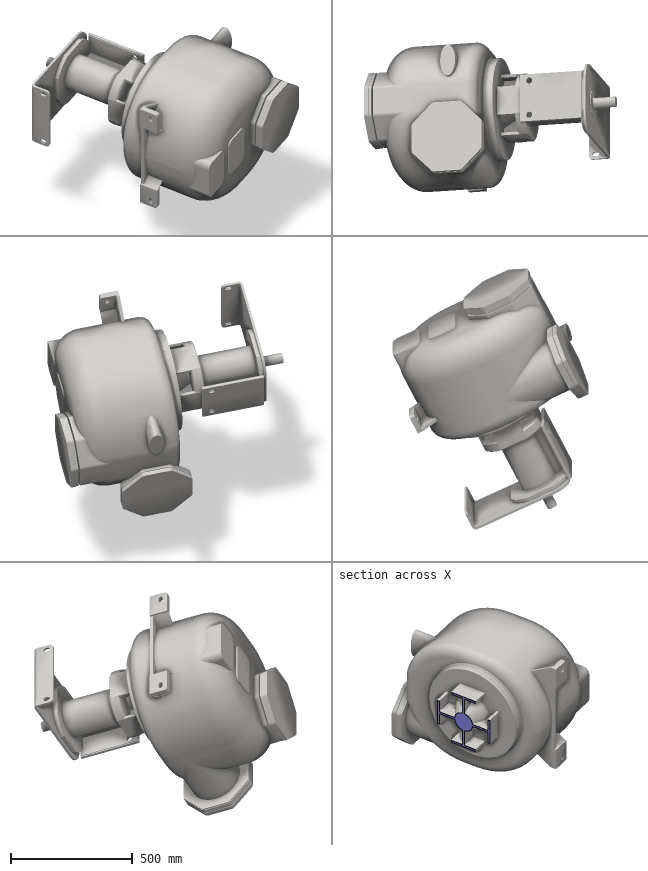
import cadquery as cq
import math


mount_y = -311.0
top_z = 255.5
seat_half = 129.0

shaft_dia = 42.5
shaft_collar_dia = 48.0
cover_boss_dia = 108.0
cover_dia = 150.0
cover_relief = 0.5
cover_bolt_dia = 10.0
cover_bolt_depth = 2.0
cover_bolt_half_pitch = 45.5
shaft_shoulder_x = 85.5
cover_boss_x = 94.0

bracket_x = 97.0
bracket_thickness = 10.0
bracket_half_height = 150.0
bracket_corner_radius = 75.0
bracket_end_x = 186.0
bracket_bend_radius = 18.0
bracket_toe_radius = 16.0
spigot_dia = 230.0
bracket_bolt_dia = 18.5
bracket_bolt_half_pitch = 94.0
slot_length = 28.0
slot_width = 18.0
bracket_slot_x = 157.0
bracket_slot_z = 129.0

disc_dia = 282.0
seat_width = 120.0
front_disc_x = bracket_x + bracket_thickness
front_disc_end_x = 124.0
tube_dia = 152.0
tube_fillet = 5.0
rear_disc_x = 357.5
rear_disc_end_x = 398.0
rear_disc_front_chamfer = 3.0
rear_disc_back_chamfer = 5.0
lug_thickness = 12.0
lug_web_thickness = 12.0
neck_dia = 90.0
cone_start_x = 405.0
cone_end_dia = 170.0
guard_rib_thickness = 10.0

cover_plate_x = 471.5
cover_plate_end_x = 500.5
cover_plate_dia = 421.0
raised_rim_x = 487.0
raised_rim_height = 1.5
casing_x = 509.5
casing_rim_dia = 434.0
casing_end_x = 920.0
casing_front_fillet = 42.0
casing_rear_fillet = 114.5
casing_bottom_z = -325.0
casing_right_y = -290.5
casing_left_y = 364.0
left_arc_y = 82.0
left_arc_z = (top_z + casing_bottom_z) / 2
left_arc_radius = (top_z - casing_bottom_z) / 2
right_arc_z = -17.5
upper_arc_radius = top_z - right_arc_z
lower_arc_radius = right_arc_z - casing_bottom_z
upper_arc_y = casing_right_y + upper_arc_radius
lower_arc_y = casing_right_y + lower_arc_radius
left_blend_radius = 90.0

port_half = 147.5
port_step_half = 145.5
port_flat_half = 60.0
port_corner_radius = 17.0
port_neck_dia = 222.0

discharge_x = 620.0
discharge_y = 396.0
discharge_z = -215.0
discharge_plate = 17.0
discharge_gap = 2.5
discharge_counter_plate = 20.0
discharge_step = 6.0
discharge_pipe_dia = 2 * (discharge_z - casing_bottom_z)

suction_y = 219.0
suction_z = -36.0
suction_x = 976.5
suction_plate = 18.5
suction_step = 12.5
suction_gap = 7.0

boss_start_x = 780.0
boss_end_x = 926.5
boss_width = 122.5
boss_height = 183.0
boss_corner_radius = 27.0
boss_z = suction_z
boss_ys = (-214.5, -50.5)

filler_end_y = 378.0
filler_width = 63.0
filler_top_z = 180.0
filler_bottom_z = 49.0

foot_x = 620.0
foot_web_thickness = 13.0
foot_web_recess = 8.0
foot_end_x = 700.0
foot_thickness = 22.0
foot_height = 99.0
foot_corner_radius = 12.0
foot_center_z = 0.5
foot_slot_x = 670.0
foot_slot_z = 224.5
foot_nose_y = mount_y + 26.0
upper_web_y = -190.0
upper_web_z = 198.0
lower_web_y = -223.0
lower_web_z = -215.0
foot_half_span = top_z - foot_center_z
foot_gusset_thickness = 8.0
foot_gusset_run = 60.0
foot_gusset_rise = 40.0

guard_x = 111.0
guard_end_x = 371.0
guard_half_height = 100.0
guard_thickness = 15.0
guard_lip = 3.0
guard_inset = 4.0
guard_hole_dia = 25.0
guard_hole_x = 332.0
guard_hole_z = 73.0


def plane_x(x):
    return cq.Workplane(cq.Plane((x, 0, 0), (0, 1, 0), (1, 0, 0)))


def plane_y(y):
    return cq.Workplane(cq.Plane((0, y, 0), (1, 0, 0), (0, -1, 0)))


def rod(x_start, x_end, diameter):
    return plane_x(x_start).circle(diameter / 2).extrude(x_end - x_start)


def box(x_start, x_end, y_start, y_end, z_start, z_end):
    size = (x_end - x_start, y_end - y_start, z_end - z_start)
    corner = (x_start, y_start, z_start)
    return cq.Workplane("XY").box(*size, centered=False).translate(corner)


def four_corners(half_pitch):
    return [(y, z) for y in (-half_pitch, half_pitch) for z in (-half_pitch, half_pitch)]


def slot_cutter(x, z, angle, depth):
    cutter = plane_y(mount_y + depth).center(x, z).slot2D(slot_length, slot_width, angle)
    return cutter.extrude(depth)


def bracket_bolts():
    bolts = plane_x(bracket_x).pushPoints(four_corners(bracket_bolt_half_pitch))
    return bolts.circle(bracket_bolt_dia / 2).extrude(bracket_thickness)


def make_bracket():
    bracket = box(bracket_x, bracket_end_x, mount_y, seat_half, -bracket_half_height, bracket_half_height)
    inside = box(bracket_x + bracket_thickness, bracket_end_x, mount_y + bracket_thickness, seat_half,
                 -bracket_half_height, bracket_half_height)
    inside = inside.edges("|Z and <X and <Y").fillet(bracket_bend_radius - bracket_thickness)
    bracket = bracket.edges("|Z and <X and <Y").fillet(bracket_bend_radius).cut(inside)
    bracket = bracket.edges("|X and >Y").fillet(bracket_corner_radius)
    bracket = bracket.edges("|Y and >X").fillet(bracket_toe_radius)
    bracket = bracket.cut(rod(bracket_x, front_disc_x, spigot_dia))
    bracket = bracket.cut(bracket_bolts())
    for z in (-bracket_slot_z, bracket_slot_z):
        bracket = bracket.cut(slot_cutter(bracket_slot_x, z, 0, bracket_thickness))
    return bracket


def make_guard():
    step_y = seat_half + guard_lip
    guard = box(guard_x, guard_end_x, step_y, seat_half + guard_thickness,
                -guard_half_height, guard_half_height)
    inner_half = guard_half_height - guard_inset
    guard = guard.union(box(guard_x + guard_inset, guard_end_x - guard_inset, seat_half, step_y,
                            -inner_half, inner_half))
    holes = plane_y(seat_half + guard_thickness)
    holes = holes.pushPoints([(guard_hole_x, -guard_hole_z), (guard_hole_x, guard_hole_z)])
    return guard.cut(holes.circle(guard_hole_dia / 2).extrude(guard_thickness))


def frame_disc(x_start, x_end):
    seats = box(x_start, x_end, -seat_half, seat_half, -seat_half, seat_half)
    return rod(x_start, x_end, disc_dia).intersect(seats)


def frame_lug():
    lug_x = rear_disc_end_x - rear_disc_back_chamfer
    cap = box(lug_x, cover_plate_x, -seat_width / 2, seat_width / 2,
              seat_half - lug_thickness, seat_half)
    web = box(lug_x, cover_plate_x, -lug_web_thickness / 2, lug_web_thickness / 2,
              0, seat_half)
    return cap.union(web)


def frame_tube():
    radius = tube_dia / 2
    flared = radius + tube_fillet
    left, right = front_disc_end_x, rear_disc_x
    inset = tube_fillet * (1 - math.sqrt(0.5))
    profile = cq.Workplane("XY").moveTo(left, 0).lineTo(left, flared)
    profile = profile.threePointArc((left + inset, radius + inset), (left + tube_fillet, radius))
    profile = profile.lineTo(right - tube_fillet, radius)
    profile = profile.threePointArc((right - inset, radius + inset), (right, flared))
    return profile.lineTo(right, 0).close().revolve(360, (0, 0), (1, 0))


def make_frame():
    cover_x = bracket_x - cover_relief
    frame = rod(bracket_x, front_disc_x, spigot_dia).union(rod(cover_x, front_disc_x, cover_dia))
    bolts = plane_x(cover_x).pushPoints(four_corners(cover_bolt_half_pitch))
    frame = frame.cut(bolts.circle(cover_bolt_dia / 2).extrude(cover_bolt_depth))
    frame = frame.union(rod(cover_boss_x, front_disc_x, cover_boss_dia))
    frame = frame.union(rod(0, cover_boss_x, shaft_dia))
    frame = frame.union(rod(shaft_shoulder_x, front_disc_x, shaft_collar_dia))
    frame = frame.union(frame_disc(front_disc_x, front_disc_end_x)).union(bracket_bolts())
    frame = frame.union(frame_tube())
    rear_disc = frame_disc(rear_disc_x, rear_disc_end_x)
    rear_disc = rear_disc.faces("<X").edges().chamfer(rear_disc_front_chamfer)
    frame = frame.union(rear_disc.faces(">X").edges().chamfer(rear_disc_back_chamfer))
    frame = frame.union(box(front_disc_end_x, rear_disc_x, 0, seat_half,
                            -guard_rib_thickness / 2, guard_rib_thickness / 2))
    flare = [(rear_disc_end_x, 0), (rear_disc_end_x, neck_dia / 2), (cone_start_x, neck_dia / 2),
             (cover_plate_x, cone_end_dia / 2), (cover_plate_x, 0)]
    frame = frame.union(cq.Workplane("XY").polyline(flare).close().revolve(360, (0, 0), (1, 0)))
    for quarter in range(4):
        frame = frame.union(frame_lug().rotate((0, 0, 0), (1, 0, 0), 90 * quarter))
    return frame


def on_arc(center_y, center_z, radius, degrees):
    angle = math.radians(degrees)
    return (center_y + radius * math.cos(angle), center_z + radius * math.sin(angle))


def volute():
    flat_half = math.sqrt(left_arc_radius**2 - (casing_left_y - left_arc_y)**2)
    outline = plane_x(casing_x).moveTo(left_arc_y, top_z).lineTo(upper_arc_y, top_z)
    outline = outline.threePointArc(on_arc(upper_arc_y, right_arc_z, upper_arc_radius, 135),
                                    (casing_right_y, right_arc_z))
    outline = outline.threePointArc(on_arc(lower_arc_y, right_arc_z, lower_arc_radius, 225),
                                    (lower_arc_y, casing_bottom_z))
    outline = outline.lineTo(left_arc_y, casing_bottom_z)
    outline = outline.threePointArc(on_arc(left_arc_y, left_arc_z, left_arc_radius, -45),
                                    (casing_left_y, left_arc_z - flat_half))
    outline = outline.lineTo(casing_left_y, left_arc_z + flat_half)
    outline = outline.threePointArc(on_arc(left_arc_y, left_arc_z, left_arc_radius, 45),
                                    (left_arc_y, top_z)).close()
    body = outline.extrude(casing_end_x - casing_x)
    near_flat = cq.selectors.BoxSelector(
        (casing_x, casing_left_y - 1, left_arc_z - flat_half - 1),
        (casing_end_x, casing_left_y + 1, left_arc_z + flat_half + 1))
    body = body.edges(near_flat & cq.selectors.ParallelDirSelector(cq.Vector(1, 0, 0)))
    body = body.fillet(left_blend_radius).faces(">X").edges().fillet(casing_rear_fillet)
    return body.faces("<X").edges().fillet(casing_front_fillet)


def octagon(workplane, half, depth):
    corners = []
    for sign in (1, -1):
        corners += [(sign * half, -sign * port_flat_half), (sign * half, sign * port_flat_half),
                    (sign * port_flat_half, sign * half), (-sign * port_flat_half, sign * half)]
    plate = workplane.polyline(corners).close().extrude(depth)
    normal = workplane.plane.zDir
    return plate.edges(cq.selectors.ParallelDirSelector(normal)).fillet(port_corner_radius)


def make_discharge():
    port = None
    y = discharge_y
    layers = [(port_half, discharge_plate), (None, discharge_gap),
              (port_half, discharge_counter_plate), (port_step_half, discharge_step)]
    for half, depth in layers:
        face = plane_y(y).center(discharge_x, discharge_z)
        layer = octagon(face, half, depth) if half else face.circle(port_neck_dia / 2).extrude(depth)
        port = port.union(layer) if port else layer
        y -= depth
    pipe = plane_y(y).center(discharge_x, discharge_z).circle(discharge_pipe_dia / 2)
    return port.union(pipe.extrude(y - left_arc_y))


def make_suction():
    step_x = suction_x - suction_plate
    neck_end_x = step_x - suction_step
    block_end_x = neck_end_x - suction_gap
    block_start_x = casing_end_x - casing_rear_fillet

    def face(x):
        return plane_x(x).center(suction_y, suction_z)

    port = octagon(face(step_x), port_half, suction_plate)
    port = port.union(octagon(face(neck_end_x), port_step_half, suction_step))
    port = port.union(face(block_end_x).circle(port_neck_dia / 2).extrude(suction_gap))
    return port.union(octagon(face(block_start_x), port_step_half, block_end_x - block_start_x))


def rear_boss(y):
    boss = plane_x(boss_start_x).center(y, boss_z).rect(boss_width, boss_height)
    return boss.extrude(boss_end_x - boss_start_x).edges("|X").fillet(boss_corner_radius)


def filler_boss():
    center_z = (filler_top_z + filler_bottom_z) / 2
    boss = plane_y(filler_end_y).center(discharge_x, center_z)
    boss = boss.ellipse(filler_width / 2, (filler_top_z - filler_bottom_z) / 2)
    return boss.extrude(filler_end_y - left_arc_y)


def foot_web():
    recess_y = mount_y + foot_web_recess
    low_z = foot_center_z - foot_half_span
    pad_low = foot_half_span - foot_height
    points = [(upper_web_y, upper_web_z), (foot_nose_y, top_z), (mount_y, top_z),
              (mount_y, foot_center_z + pad_low), (recess_y, foot_center_z + pad_low),
              (recess_y, foot_center_z - pad_low), (mount_y, foot_center_z - pad_low),
              (mount_y, low_z), (foot_nose_y, low_z), (lower_web_y, lower_web_z)]
    return plane_x(foot_x).polyline(points).close().extrude(foot_web_thickness)


def foot_pad():
    inner_z = top_z - foot_height
    pad = box(foot_x, foot_end_x, mount_y, mount_y + foot_thickness, inner_z, top_z)
    pad = pad.edges("|Y and >X and >Z").fillet(foot_corner_radius)
    outer_y = mount_y + foot_web_recess
    gusset = plane_x(foot_x).polyline([
        (outer_y, inner_z), (outer_y + foot_gusset_run, inner_z - foot_gusset_rise),
        (outer_y + foot_gusset_run, inner_z - foot_gusset_rise + foot_gusset_thickness),
        (outer_y, inner_z + foot_gusset_thickness)]).close().extrude(foot_end_x - foot_x)
    return pad.union(gusset).cut(slot_cutter(foot_slot_x, foot_slot_z, 90, foot_thickness))


def raised_rim():
    rim_radius = cover_plate_dia / 2 + raised_rim_height
    quarter = box(raised_rim_x, cover_plate_end_x, -rim_radius, 0, 0, rim_radius)
    return rod(raised_rim_x, cover_plate_end_x, 2 * rim_radius).intersect(quarter)


def make_pump():
    upper_pad = foot_pad()
    lower_pad = upper_pad.mirror("XY", (0, 0, foot_center_z))
    pump = volute()
    rim = [(cover_plate_end_x, 0), (cover_plate_end_x, cover_plate_dia / 2),
           (casing_x, casing_rim_dia / 2), (casing_x, 0)]
    pump = pump.union(cq.Workplane("XY").polyline(rim).close().revolve(360, (0, 0), (1, 0)))
    pump = pump.union(rod(cover_plate_x, cover_plate_end_x, cover_plate_dia)).union(raised_rim())
    pump = pump.union(make_discharge()).union(make_suction())
    for y in boss_ys:
        pump = pump.union(rear_boss(y))
    pump = pump.union(filler_boss())
    pump = pump.union(foot_web()).union(upper_pad).union(lower_pad)
    return pump.union(make_frame())


bracket = make_bracket()
guard = make_guard()
pump = make_pump()

result = cq.Compound.makeCompound([pump.val(), bracket.val(), guard.val()])